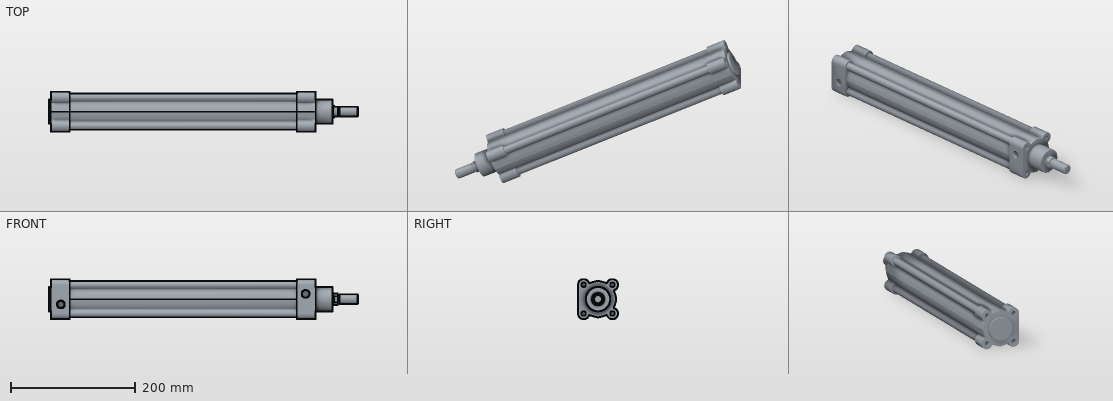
import cadquery as cq
import math


rear_boss_length = 3.5
cap_length = 30.0
barrel_length = 367.0
front_collar_length = 27.5
overall_length = 499.0
rear_cap_start = rear_boss_length
barrel_start = rear_cap_start + cap_length
front_cap_start = barrel_start + barrel_length
front_cap_end = front_cap_start + cap_length
collar_end = front_cap_end + front_collar_length

cap_width = 65.0
corner_spacing = 46.5
corner_offset = corner_spacing / 2
cap_lobe_radius = cap_width / 2 - corner_offset
barrel_lobe_radius = 6.0
cap_core_radius = 29.0
barrel_core_radius = 29.0
cap_ridge_width = 13.5
barrel_ridge_width = 10.5
cap_notch_fillet = 1.5
barrel_notch_fillet = 1.0

boss_radius = 20.0
boss_chamfer = 0.5
screw_hole_diameter = 7.5
screw_hole_depth = 16.0
port_mouth_diameter = 13.0
rear_port_diameter = 11.0
front_port_diameter = 12.0
port_depth = 10.0
port_height = 8.5
rear_port_x = 19.5
front_port_x = 414.0

guide_ring_radius = 10.0
guide_ring_length = 1.5
rod_radius = 9.5
thread_radius = 8.0
neck_radius = 7.0
wrench_width = 16.5
wrench_start = collar_end + 2.5
shoulder_end = collar_end + 8.5
neck_end = shoulder_end + 2.0
thread_start = neck_end + thread_radius - neck_radius
thread_chamfer = 1.5

corner_centres = [(y, z) for y in (-corner_offset, corner_offset) for z in (-corner_offset, corner_offset)]


def section(x):
    """Workplane across the axis at x, with local axes along Y and Z."""
    return cq.Workplane("YZ", origin=(x, 0, 0))


def round_bar(x, length, radius):
    return section(x).circle(radius).extrude(length)


def ridged_core(x, length, radius, ridge_width, ridge_turns):
    """Round bar with shallow V ridges whose flanks are tangent to it; a turn of 0 points to +Y."""
    core = round_bar(x, length, radius)
    ridge_half_width = ridge_width / 2
    flank_angle = math.asin(ridge_half_width / radius)
    flank_foot = radius * math.cos(flank_angle)
    apex = radius / math.cos(flank_angle)
    outline = [(0, 0), (flank_foot, -ridge_half_width), (apex, 0), (flank_foot, ridge_half_width)]
    ridge = section(x).polyline(outline).close().extrude(length)
    for turn in ridge_turns:
        core = core.union(ridge.rotate((0, 0, 0), (1, 0, 0), turn))
    return core


def make_cap(x):
    """Cap with four screw lobes, ridges on +Y, +Z and -Z and a flat port face on -Y."""
    cap = ridged_core(x, cap_length, cap_core_radius, cap_ridge_width, (0, 90, 270))
    cap = cap.union(section(x).pushPoints(corner_centres).circle(cap_lobe_radius).extrude(cap_length))
    port_block = section(x).center(-cap_width / 4, 0).rect(cap_width / 2, corner_spacing)
    cap = cap.union(port_block.extrude(cap_length))
    spacing = math.hypot(corner_offset, corner_offset)
    along = (spacing**2 + cap_core_radius**2 - cap_lobe_radius**2) / (2 * spacing)
    across = math.sqrt(cap_core_radius**2 - along**2)
    notches = [(y, z) for y, z in notch_points(along, across) if y > -abs(z)]
    return cap.edges(lengthwise_edges(notches)).fillet(cap_notch_fillet)


def notch_points(along, across):
    """(Y, Z) of the eight notches beside the corner lobes, from distances to the axis and diagonal."""
    near = (along - across) / math.sqrt(2)
    far = (along + across) / math.sqrt(2)
    signs = [(y, z) for y in (-1, 1) for z in (-1, 1)]
    return [(y * a, z * b) for a, b in ((near, far), (far, near)) for y, z in signs]


def lengthwise_edges(points):
    """Selector for the edges parallel to X that pass through the given (Y, Z) points."""
    reach = 0.25
    selector = None
    for y, z in points:
        low = (0, y - reach, z - reach)
        high = (overall_length, y + reach, z + reach)
        box = cq.selectors.BoxSelector(low, high)
        selector = box if selector is None else selector + box
    return selector


def screw_holes(end_x, inward):
    """Blind tie-screw holes entering a cap from its outer end face."""
    holes = section(end_x).pushPoints(corner_centres).circle(screw_hole_diameter / 2)
    return holes.extrude(inward * screw_hole_depth)


def port(x, z, diameter):
    """Blind air port with a chamfered mouth, entering the flat -Y face."""
    face = cq.Workplane("XZ", origin=(x, -cap_width / 2, z))
    bore = face.circle(diameter / 2).extrude(-port_depth)
    chamfer = (port_mouth_diameter - diameter) / 2
    mouth = face.circle(port_mouth_diameter / 2).extrude(-chamfer, taper=45)
    return bore.union(mouth)


def make_rear_cap():
    boss = round_bar(0, rear_boss_length, boss_radius).faces("<X").chamfer(boss_chamfer)
    cap = make_cap(rear_cap_start).union(boss)
    cap = cap.cut(screw_holes(rear_cap_start, 1))
    return cap.cut(port(rear_port_x, -port_height, rear_port_diameter))


def make_barrel():
    """Extruded barrel: round core, four ridges and a round-ended web at each corner."""
    ridge_turns = (0, 90, 180, 270)
    barrel = ridged_core(
        barrel_start, barrel_length, barrel_core_radius, barrel_ridge_width, ridge_turns
    )
    diagonal = math.hypot(corner_spacing, corner_spacing)
    for angle in (45, 135):
        web = section(barrel_start).slot2D(diagonal + 2 * barrel_lobe_radius, 2 * barrel_lobe_radius, angle)
        barrel = barrel.union(web.extrude(barrel_length))
    along = math.sqrt(barrel_core_radius**2 - barrel_lobe_radius**2)
    notches = notch_points(along, barrel_lobe_radius)
    return barrel.edges(lengthwise_edges(notches)).fillet(barrel_notch_fillet)


def make_front_cap():
    collar = round_bar(front_cap_end, front_collar_length, boss_radius).faces(">X").chamfer(boss_chamfer)
    cap = make_cap(front_cap_start).union(collar)
    cap = cap.cut(screw_holes(front_cap_end, -1))
    return cap.cut(port(front_port_x, port_height, front_port_diameter))


def make_rod():
    """Turned rod end with a guide ring, wrench flats on -Y and +Y, a thread neck and a chamfered thread."""
    outline = [
        (collar_end, 0),
        (collar_end, guide_ring_radius),
        (collar_end + guide_ring_length, guide_ring_radius),
        (collar_end + guide_ring_length, rod_radius),
        (shoulder_end, rod_radius),
        (shoulder_end, neck_radius),
        (neck_end, neck_radius),
        (thread_start, thread_radius),
        (overall_length - thread_chamfer, thread_radius),
        (overall_length, thread_radius - thread_chamfer),
        (overall_length, 0),
    ]
    rod = cq.Workplane("XY").polyline(outline).close().revolve(360, (0, 0, 0), (1, 0, 0))
    flat_depth = rod_radius - wrench_width / 2
    for side in (-1, 1):
        cutter = cq.Workplane("XY").box(shoulder_end - wrench_start, flat_depth, 2 * rod_radius)
        centre_y = side * (wrench_width + flat_depth) / 2
        rod = rod.cut(cutter.translate(((wrench_start + shoulder_end) / 2, centre_y, 0)))
    return rod


rear_cap = make_rear_cap()
barrel = make_barrel()
front_cap = make_front_cap()
rod = make_rod()

result = cq.Compound.makeCompound([rear_cap.val(), barrel.val(), front_cap.val(), rod.val()])